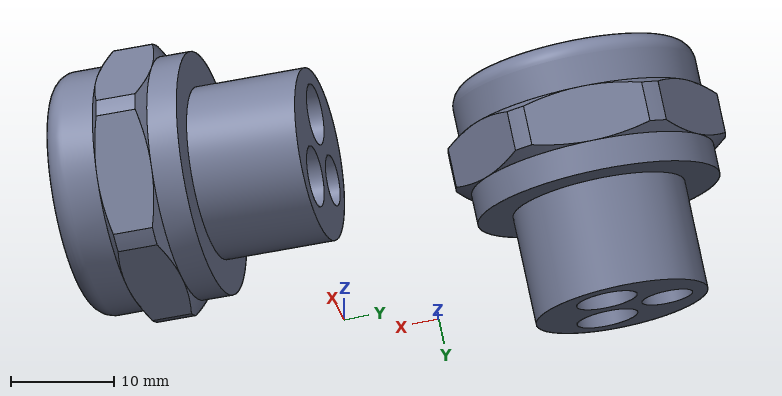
import cadquery as cq
import math

across_flats = 24.0
across_corners = 26.7
total_length = 24.5
hex_front = 5.1
hex_back = 10.6
collar_back = 13.6
tube_diameter = 17.03
front_rounding = 2.0
recess_diameter = 16.23
recess_depth = 2.0
chamfer_angle = 30.0

cable_holes = [
    (1.5, 3.7, 6.0),
    (1.45, -3.7, 6.0),
    (-4.49, 0.0, 5.02),
]

body_radius = across_flats / 2
corner_radius = across_corners / 2


def cylinder(diameter, start, end, x=0.0, z=0.0):
    """Cylinder along +Y between two Y positions."""
    base = cq.Workplane("XZ", origin=(x, start, z))
    return base.circle(diameter / 2).extrude(start - end)


def wrench_hexagon():
    """Hexagon with flats facing +Z and -Z, its corners turned down and chamfered at both ends."""
    sharp_corners = across_flats / math.cos(math.radians(30))
    prism = (
        cq.Workplane("XZ", origin=(0, hex_front, 0))
        .polygon(6, sharp_corners)
        .extrude(hex_front - hex_back)
    )
    chamfer_length = (corner_radius - body_radius) * math.tan(math.radians(chamfer_angle))
    turned_envelope = (
        cq.Workplane("XY")
        .moveTo(0, hex_front)
        .lineTo(body_radius, hex_front)
        .lineTo(corner_radius, hex_front + chamfer_length)
        .lineTo(corner_radius, hex_back - chamfer_length)
        .lineTo(body_radius, hex_back)
        .lineTo(0, hex_back)
        .close()
        .revolve(360, (0, 0, 0), (0, 1, 0))
    )
    return prism.intersect(turned_envelope)


body = cylinder(across_flats, 0, collar_back).faces("<Y").edges().fillet(front_rounding)

result = body.union(wrench_hexagon())
result = result.union(cylinder(tube_diameter, collar_back, total_length))

result = result.cut(cylinder(recess_diameter, 0, recess_depth))
for hole_x, hole_z, hole_diameter in cable_holes:
    result = result.cut(cylinder(hole_diameter, 0, total_length, hole_x, hole_z))